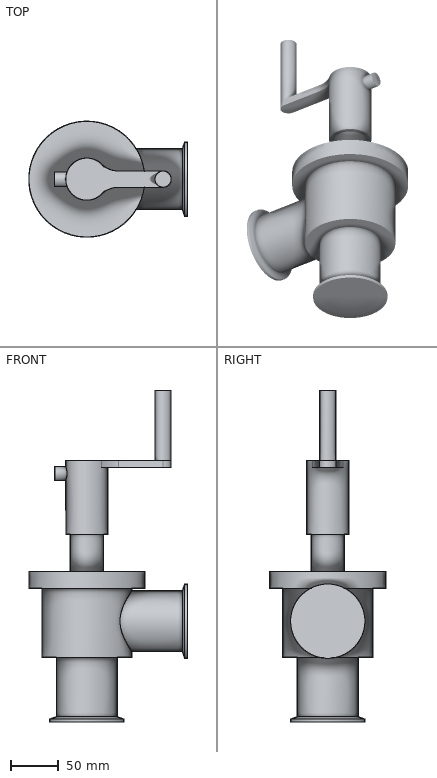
import cadquery as cq
import math

BODY_BOTTOM_Z = 67.5
BODY_TOP_Z = 139.5
FLANGE_TOP_Z = 157.0
HUB_BOTTOM_Z = 195.7
HUB_TOP_Z = 272.8
GRIP_TOP_Z = 345.8

BODY_RADIUS = 94.0 / 2
FLANGE_RADIUS = 121.0 / 2
STEM_RADIUS = 35.0 / 2
PORT_RADIUS = 63.5 / 2
FERRULE_RADIUS = 77.5 / 2
FERRULE_LENGTH = 5.5
RIM_THICKNESS = 3.0
SIDE_PORT_Z = 105.0
SIDE_PORT_REACH = 105.0

HUB_RADIUS = 44.0 / 2
GRIP_RADIUS = 17.0 / 2
GRIP_X = 79.5
ARM_THICKNESS = 7.5
ARM_FILLET_RADIUS = 25.0
PIN_RADIUS = 15.0 / 2
PIN_REACH = 33.5
PIN_Z = 259.0


def cylinder(radius, bottom, top):
    """Vertical cylinder on the valve axis."""
    return cq.Workplane("XY").workplane(offset=bottom).circle(radius).extrude(top - bottom)


def make_port(length):
    """Port with its clamp ferrule face at Z = 0, running up the Z axis."""
    return (
        cq.Workplane("XZ")
        .lineTo(FERRULE_RADIUS, 0)
        .lineTo(FERRULE_RADIUS, RIM_THICKNESS)
        .lineTo(PORT_RADIUS, FERRULE_LENGTH)
        .lineTo(PORT_RADIUS, length)
        .lineTo(0, length)
        .close()
        .revolve(360, (0, 0, 0), (0, 1, 0))
    )


def make_valve():
    """Body with flange, stem and two ports at right angles."""
    body = cylinder(BODY_RADIUS, BODY_BOTTOM_Z, BODY_TOP_Z)
    flange = cylinder(FLANGE_RADIUS, BODY_TOP_Z, FLANGE_TOP_Z)
    stem = cylinder(STEM_RADIUS, FLANGE_TOP_Z, HUB_BOTTOM_Z)
    bottom_port = make_port(BODY_BOTTOM_Z)
    side_port = (
        make_port(SIDE_PORT_REACH)
        .rotate((0, 0, 0), (0, 1, 0), -90)
        .translate((SIDE_PORT_REACH, 0, SIDE_PORT_Z))
    )
    return body.union(flange).union(stem).union(bottom_port).union(side_port)


def make_arm():
    """Round-ended arm that flares tangentially into the hub."""
    center_distance = HUB_RADIUS + ARM_FILLET_RADIUS
    center_y = GRIP_RADIUS + ARM_FILLET_RADIUS
    center_x = math.sqrt(center_distance**2 - center_y**2)
    hub_share = HUB_RADIUS / center_distance
    hub_touch = (center_x * hub_share, center_y * hub_share)

    angle_to_hub = math.atan2(-center_y, -center_x)
    middle_angle = (angle_to_hub - math.pi / 2) / 2
    middle = (
        center_x + ARM_FILLET_RADIUS * math.cos(middle_angle),
        center_y + ARM_FILLET_RADIUS * math.sin(middle_angle),
    )
    return (
        cq.Workplane("XY")
        .workplane(offset=HUB_TOP_Z - ARM_THICKNESS)
        .moveTo(*hub_touch)
        .threePointArc(middle, (center_x, GRIP_RADIUS))
        .lineTo(GRIP_X, GRIP_RADIUS)
        .threePointArc((GRIP_X + GRIP_RADIUS, 0), (GRIP_X, -GRIP_RADIUS))
        .lineTo(center_x, -GRIP_RADIUS)
        .threePointArc((middle[0], -middle[1]), (hub_touch[0], -hub_touch[1]))
        .threePointArc((-HUB_RADIUS, 0), hub_touch)
        .close()
        .extrude(ARM_THICKNESS)
    )


def make_crank():
    """Hub resting on the stem, with its arm and the short pin opposite the arm."""
    hub = cylinder(HUB_RADIUS, HUB_BOTTOM_Z, HUB_TOP_Z)
    pin = (
        cq.Workplane("YZ")
        .center(0, PIN_Z)
        .circle(PIN_RADIUS)
        .extrude(-PIN_REACH)
    )
    return hub.union(make_arm()).union(pin).clean()


def make_grip():
    """Upright grip standing on the end of the arm, flush with its round end."""
    return cylinder(GRIP_RADIUS, HUB_TOP_Z, GRIP_TOP_Z).translate((GRIP_X, 0, 0))


valve = make_valve()
crank = make_crank()
grip = make_grip()

result = cq.Compound.makeCompound([valve.val(), crank.val(), grip.val()])